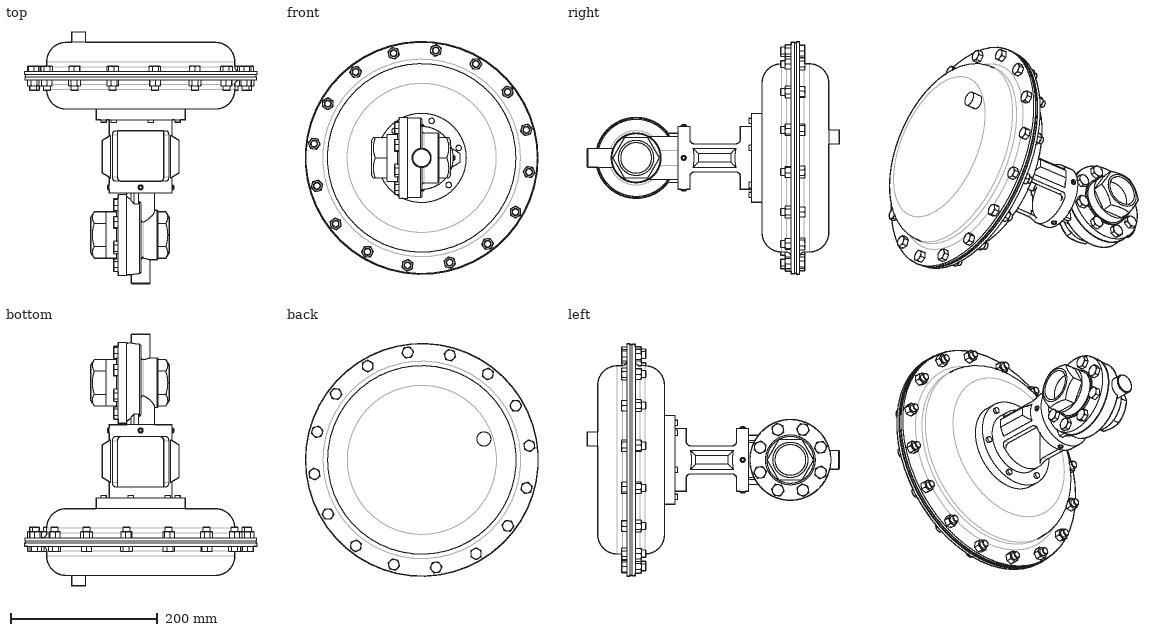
import cadquery as cq
import math


top_rim_radius = 158.7
bottom_rim_radius = 158.0
diaphragm_radius = 157.5
diaphragm_half = 1.55
rim_half = 6.0
dome_half = 45.7
dome_radius = 128.5
dome_round = 26.8
rim_fillet = 6.2

port_radius = 9.5
port_x = -84.5
port_z = 28.5
port_end = 59.8

casing_bolt_count = 16
casing_bolt_circle_radius = 147.7
casing_bolt_start = 15
hex_head_height = 7.2
nut_height = 8.2
nut_flats = 14.0
casing_head_turn = 30
stud_radius = 4.8
stud_end = -20.3
stud_chamfer = 0.7

hub_radius = 60.8
hub_bottom = -60.0
hub_screw_count = 6
hub_screw_circle_radius = 52.2
hub_screw_start = 15
hub_screw_head_radius = 3.8
hub_screw_height = 3.5

yoke_radius = 43.0
window_top = -75.2
window_bottom = -143.5
yoke_bottom = -160.0
post_half_width = 19.2
post_inner = 31.3
window_fillet = 6.0
lower_bore_radius = 36.8
lower_bore_top = window_bottom + window_fillet

pad_center = -110.3
pad_base_length = 58.5
pad_base_width = 25.8
pad_top_length = 44.3
pad_top_width = 11.7
pad_root = 41.0
pad_top = 52.5

clamp_screw_y = -152.2
clamp_screw_radius = 3.5
clamp_screw_end = 45.5
clamp_screw_chamfer = 1.5

valve_y = -217.0
flange_left = -30.5
flange_right = -19.2
flange_radius = 55.3
body_right = 0.5
body_radius = 54.3
body_chamfer = 1.7
collar_left = -33.0
neck_left_radius = 32.0
neck_right_radius = 34.0
neck_fillet = 3.0
neck_chamfer = 1.0
hex_flats = 55.0
hex_face_radius = 24.0
hex_chamfer = 4.8
hex_left_end = -68.0
hex_left_start = -47.0
hex_right_start = 23.5
hex_right_end = 39.0
bore_radius = 21.0
bore_depth = 17.2

flange_bolt_count = 8
flange_bolt_circle_radius = 44.5
flange_bolt_flats = 15.0
flange_bolt_turn = 15
flange_bolt_height = 6.2

bonnet_width = 38.0
bonnet_length = 58.7
tail_radius = 13.0
tail_end = port_end - 343.5
tail_chamfer = 1.0
lug_left = -13.5
lug_right = -3.0
lug_shoulder = 26.5
lug_flat_left = -9.3
lug_top = 33.5


def corner_diameter(across_flats):
    """Diameter through the corners of a hexagon."""
    return across_flats / math.cos(math.pi / 6)


def y_cylinder(radius, y_start, y_end, x=0, z=0):
    """Cylinder along Y, from y_start down to y_end."""
    return cq.Workplane("XZ", origin=(x, y_start, z)).circle(radius).extrude(y_start - y_end)


def x_hexagon(across_flats, x_start, x_end):
    """Hexagonal prism along X on the valve axis, with two corners along Y."""
    plane = cq.Workplane("YZ", origin=(x_start, valve_y, 0))
    return plane.polygon(6, corner_diameter(across_flats)).extrude(x_end - x_start)


def make_casing():
    """Two domed shells, their rims and the diaphragm between them, turned about Y."""
    wall_end = rim_half + rim_fillet
    round_start = dome_half - dome_round
    face_radius = dome_radius - dome_round
    round_offset = dome_round * math.sqrt(0.5)
    fillet_offset = rim_fillet * (1 - math.sqrt(0.5))

    def shell(rim_radius, side):
        fillet_mid = (dome_radius + fillet_offset, side * (rim_half + fillet_offset))
        round_mid = (face_radius + round_offset, side * (round_start + round_offset))
        return (
            cq.Workplane("XY")
            .moveTo(0, side * diaphragm_half)
            .lineTo(rim_radius, side * diaphragm_half)
            .lineTo(rim_radius, side * rim_half)
            .lineTo(dome_radius + rim_fillet, side * rim_half)
            .threePointArc(fillet_mid, (dome_radius, side * wall_end))
            .lineTo(dome_radius, side * round_start)
            .threePointArc(round_mid, (face_radius, side * dome_half))
            .lineTo(0, side * dome_half)
            .close()
            .revolve(360, (0, 0, 0), (0, 1, 0))
        )

    diaphragm = y_cylinder(diaphragm_radius, diaphragm_half, -diaphragm_half)
    port = y_cylinder(port_radius, port_end, 0, port_x, port_z)
    return diaphragm.union(shell(top_rim_radius, 1)).union(shell(bottom_rim_radius, -1)).union(port)


def chamfered_hex(across_flats, height):
    """Hexagonal prism along +Z whose outer corners are cut by a 30 degree cone."""
    corner = corner_diameter(across_flats) / 2
    flat = across_flats / 2
    drop = (corner - flat) * math.tan(math.pi / 6)
    cone = (
        cq.Workplane("XZ")
        .polyline([(0, 0), (corner, 0), (corner, height - drop), (flat, height), (0, height)])
        .close()
        .revolve(360, (0, 0, 0), (0, 1, 0))
    )
    return cq.Workplane("XY").polygon(6, 2 * corner).extrude(height).intersect(cone)


def make_casing_bolts():
    """Bolts through the rim: hexagonal heads on the +Y side, nuts and stud ends on the -Y side."""
    head = chamfered_hex(nut_flats, hex_head_height)
    head = head.rotate((0, 0, 0), (0, 0, 1), casing_head_turn).rotate((0, 0, 0), (1, 0, 0), -90)
    nut = chamfered_hex(nut_flats, nut_height).rotate((0, 0, 0), (1, 0, 0), 90)
    stud = y_cylinder(stud_radius, 0, stud_end).faces("<Y").chamfer(stud_chamfer)
    bolt = (
        stud.union(head.translate((0, rim_half, 0)))
        .union(nut.translate((0, -rim_half, 0)))
        .translate((casing_bolt_circle_radius, 0, 0))
    )
    bolts = cq.Workplane("XY")
    for i in range(casing_bolt_count):
        angle = casing_bolt_start + i * 360 / casing_bolt_count
        bolts = bolts.add(bolt.rotate((0, 0, 0), (0, -1, 0), angle))
    return bolts


def make_hub():
    """Round hub under the casing with a ring of screw heads."""
    hub = y_cylinder(hub_radius, -dome_half, hub_bottom)
    screws = (
        cq.Workplane("XZ", origin=(0, hub_bottom, 0))
        .polarArray(hub_screw_circle_radius, hub_screw_start, 360, hub_screw_count)
        .circle(hub_screw_head_radius)
        .extrude(hub_screw_height)
    )
    return hub.union(screws)


def make_yoke():
    """Two rings joined by two posts, with a pad on each post and screws in the lower ring."""
    window_height = window_top - window_bottom
    window_mid = (window_top + window_bottom) / 2
    yoke = y_cylinder(yoke_radius, hub_bottom, yoke_bottom)

    for side in (1, -1):
        opening = (
            cq.Workplane("XY")
            .box(3 * yoke_radius, window_height, yoke_radius)
            .edges("|X and " + (">Z" if side < 0 else "<Z"))
            .fillet(window_fillet)
            .translate((0, window_mid, side * (post_half_width + yoke_radius / 2)))
        )
        yoke = yoke.cut(opening)

    cavity_height = window_top - lower_bore_top
    cavity = cq.Workplane("XY").box(2 * post_inner, cavity_height, 2 * yoke_radius)
    yoke = yoke.cut(cavity.translate((0, window_top - cavity_height / 2, 0)))
    yoke = yoke.cut(y_cylinder(lower_bore_radius, lower_bore_top, window_bottom))

    pad_taper = (
        cq.Workplane("YZ", origin=(-pad_top, pad_center, 0))
        .rect(pad_top_length, pad_top_width)
        .workplane(offset=pad_top - pad_root)
        .rect(pad_base_length, pad_base_width)
        .loft()
    )
    pad_stub = (
        cq.Workplane("YZ", origin=(-pad_root, pad_center, 0))
        .rect(pad_base_length, pad_base_width)
        .extrude(pad_root - post_inner)
    )
    pad = pad_taper.union(pad_stub)
    yoke = yoke.union(pad).union(pad.mirror("YZ"))

    screw = (
        cq.Workplane("YZ", origin=(lower_bore_radius, clamp_screw_y, 0))
        .circle(clamp_screw_radius)
        .extrude(clamp_screw_end - lower_bore_radius)
        .faces(">X")
        .chamfer(clamp_screw_chamfer)
    )
    for angle in (0, 90, 180, 270):
        yoke = yoke.union(screw.rotate((0, 0, 0), (0, 1, 0), angle))
    return yoke


def make_valve_body():
    """Bolted flange, body and end necks turned about the flow axis."""
    fillet_offset = neck_fillet * (1 - math.sqrt(0.5))
    fillet_mid = (body_right + fillet_offset, neck_right_radius + fillet_offset)
    fillet_end = (body_right + neck_fillet, neck_right_radius)
    return (
        cq.Workplane("XY")
        .moveTo(hex_left_start, 0)
        .lineTo(hex_left_start, neck_left_radius)
        .lineTo(collar_left, neck_left_radius)
        .lineTo(collar_left, neck_right_radius)
        .lineTo(flange_left, neck_right_radius)
        .lineTo(flange_left, flange_radius)
        .lineTo(flange_right, flange_radius)
        .lineTo(flange_right, body_radius)
        .lineTo(body_right - body_chamfer, body_radius)
        .lineTo(body_right, body_radius - body_chamfer)
        .lineTo(body_right, neck_right_radius + neck_fillet)
        .threePointArc(fillet_mid, fillet_end)
        .lineTo(hex_right_start - neck_chamfer, neck_right_radius)
        .lineTo(hex_right_start, neck_right_radius - neck_chamfer)
        .lineTo(hex_right_start, 0)
        .close()
        .revolve(360, (0, 0, 0), (1, 0, 0))
        .translate((0, valve_y, 0))
    )


def make_hex_ends():
    """Hexagonal pipe ends whose outer corners are cut by a cone."""
    corner = corner_diameter(hex_flats) / 2
    envelope = (
        cq.Workplane("XY")
        .polyline(
            [
                (hex_left_end, 0),
                (hex_left_end, hex_face_radius),
                (hex_left_end + hex_chamfer, corner),
                (hex_right_end - hex_chamfer, corner),
                (hex_right_end, hex_face_radius),
                (hex_right_end, 0),
            ]
        )
        .close()
        .revolve(360, (0, 0, 0), (1, 0, 0))
        .translate((0, valve_y, 0))
    )
    left = x_hexagon(hex_flats, hex_left_end, hex_left_start)
    right = x_hexagon(hex_flats, hex_right_start, hex_right_end)
    return left.union(right).intersect(envelope)


def make_bores():
    """Blind bores in both pipe ends."""
    bore = cq.Workplane("YZ", origin=(hex_left_end, valve_y, 0)).circle(bore_radius).extrude(bore_depth)
    return bore.union(bore.translate((hex_right_end - bore_depth - hex_left_end, 0, 0)))


def make_flange_bolts():
    """Chamfered hexagonal bolt heads on the left face of the valve flange."""
    head = (
        chamfered_hex(flange_bolt_flats, flange_bolt_height)
        .rotate((0, 0, 0), (0, 0, 1), flange_bolt_turn)
        .rotate((0, 0, 0), (0, 1, 0), -90)
        .translate((flange_left, valve_y + flange_bolt_circle_radius, 0))
    )
    heads = cq.Workplane("XY")
    for i in range(flange_bolt_count):
        angle = (i + 0.5) * 360 / flange_bolt_count
        heads = heads.add(head.rotate((0, valve_y, 0), (1, valve_y, 0), angle))
    return heads


def make_stem():
    """Bonnet between the yoke and the body, its faceted lug and the tail under the body."""
    bonnet = (
        cq.Workplane("XZ", origin=(0, yoke_bottom, 0))
        .slot2D(bonnet_length, bonnet_width, 90)
        .extrude(yoke_bottom - valve_y)
    )
    tail = y_cylinder(tail_radius, valve_y, tail_end).faces("<Y").chamfer(tail_chamfer)
    upper_outline = [
        (lug_left, lug_shoulder),
        (lug_flat_left, lug_top),
        (lug_right, lug_top),
    ]
    lower_outline = [(x, -z) for x, z in reversed(upper_outline)]
    lug = (
        cq.Workplane("XZ", origin=(0, yoke_bottom, 0))
        .polyline(upper_outline + lower_outline)
        .close()
        .extrude(yoke_bottom - valve_y)
    )
    return bonnet.union(lug).union(tail)


valve = make_valve_body().union(make_stem()).union(make_hex_ends()).cut(make_bores())
result = make_casing().union(make_hub()).union(make_yoke()).union(valve)
for solid in make_casing_bolts().vals() + make_flange_bolts().vals():
    result = result.union(cq.Workplane(solid))